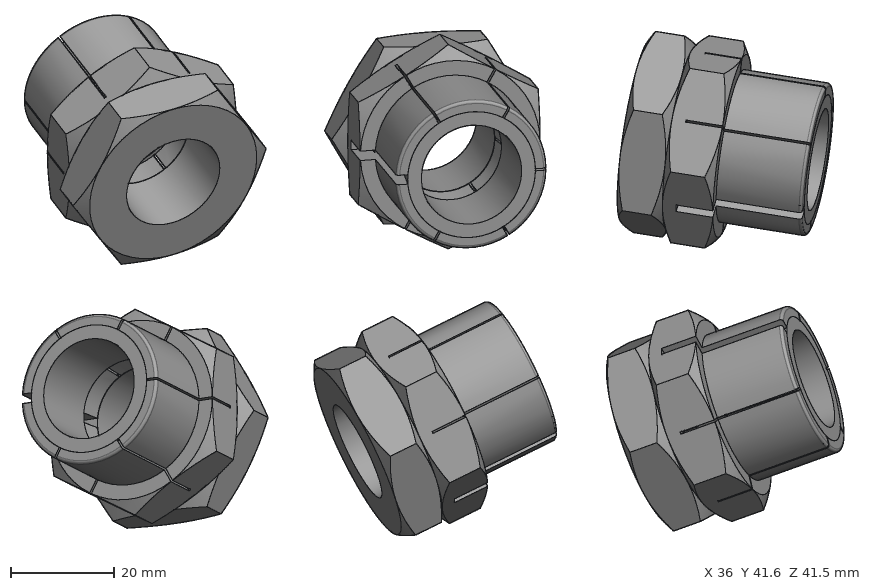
import cadquery as cq
import math


across_corners = 41.55
hex_face_radius = 17.95
hex_sides = 6
head_turn = 30.0
hex_chamfer_angle = 30.0

nose_length = 17.0
head_length = 10.0
nut_length = 8.98
ring_length = 16.15
neck_start = 21.7
slit_end = 24.28

nose_radius = 15.0
nose_fillet = 0.6
bore_radius = 10.0
taper_mouth_radius = 12.75
neck_radius = 14.05
taper_angle = 7.0

slit_width = 0.4
keyway_width = 1.9
slit_spacing = 60
keyway_angle = 0

sleeve_length = nose_length + head_length
neck_length = sleeve_length - neck_start
corner_radius = across_corners / 2
corner_clearance = 0.4
envelope_radius = corner_radius + corner_clearance


def revolve_about_x(points):
    """Solid of revolution from (X, radius) points."""
    return cq.Workplane("XY").polyline(points).close().revolve(360, (0, 0, 0), (1, 0, 0))


def cylinder(start, length, radius):
    return cq.Workplane("YZ", origin=(start, 0, 0)).circle(radius).extrude(length)


def chamfered_hexagon(start, length, turn):
    """Hexagonal prism along X with its corners turned off conically at both ends.

    With turn = 0 two corners lie on the Y axis.
    """
    prism = (
        cq.Workplane("YZ", origin=(start, 0, 0))
        .polygon(hex_sides, across_corners)
        .extrude(length)
        .rotate((0, 0, 0), (1, 0, 0), turn)
    )
    chamfer_depth = (envelope_radius - hex_face_radius) * math.tan(math.radians(hex_chamfer_angle))
    end = start + length
    envelope = revolve_about_x([
        (start, 0),
        (start, hex_face_radius),
        (start + chamfer_depth, envelope_radius),
        (end - chamfer_depth, envelope_radius),
        (end, hex_face_radius),
        (end, 0),
    ])
    return prism.intersect(envelope)


def taper(length):
    """Solid cone frustum narrowing from the nose, shared by the inner ring and its seat."""
    end_radius = taper_mouth_radius - length * math.tan(math.radians(taper_angle))
    return revolve_about_x([(0, 0), (0, taper_mouth_radius), (length, end_radius), (length, 0)])


def radial_slit(width, angle):
    """Cutter open at the nose, reaching outward from the axis at an angle about X."""
    return (
        cq.Workplane("XY")
        .box(slit_end, corner_radius, width, centered=(False, False, True))
        .rotate((0, 0, 0), (1, 0, 0), angle)
    )


def make_inner_ring():
    return taper(ring_length).cut(cylinder(0, ring_length, bore_radius))


def make_sleeve():
    nose = cylinder(0, nose_length, nose_radius).faces("<X").edges().fillet(nose_fillet)
    head = chamfered_hexagon(nose_length, head_length, head_turn)
    neck_socket = cylinder(neck_start, neck_length, neck_radius)
    sleeve = nose.union(head).cut(taper(neck_start)).cut(neck_socket)
    for angle in range(0, 360, slit_spacing):
        width = keyway_width if angle == keyway_angle else slit_width
        sleeve = sleeve.cut(radial_slit(width, angle))
    return sleeve


def make_nut():
    neck = cylinder(neck_start, neck_length, neck_radius)
    body = chamfered_hexagon(sleeve_length, nut_length, 0)
    through_bore = cylinder(neck_start, neck_length + nut_length, bore_radius)
    return body.union(neck).cut(through_bore)


inner_ring = make_inner_ring()
sleeve = make_sleeve()
nut = make_nut()

result = cq.Compound.makeCompound([body.solids().val() for body in (inner_ring, sleeve, nut)])